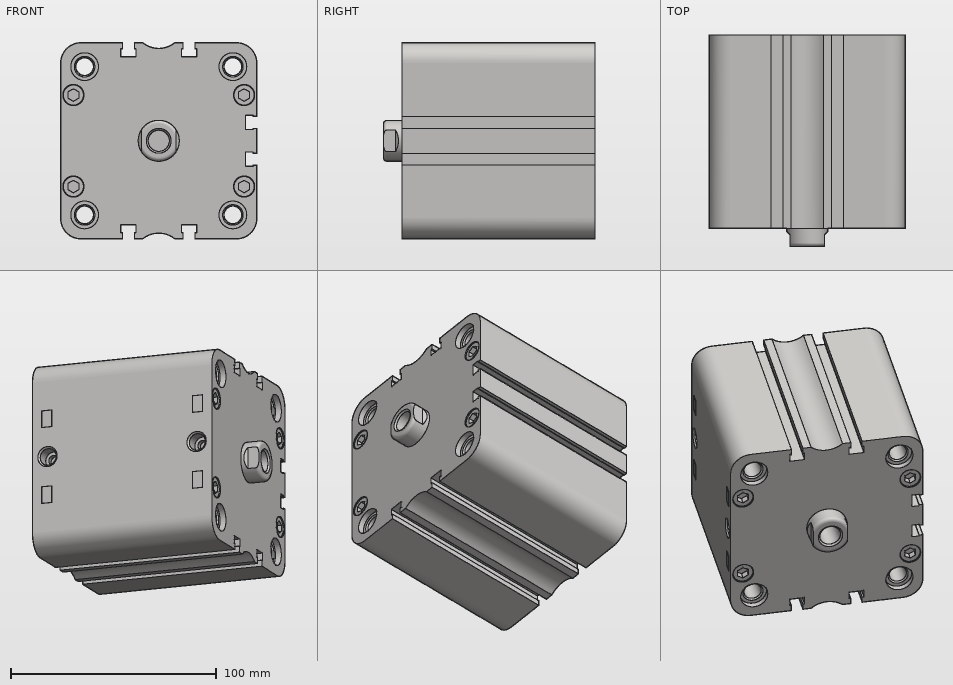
import cadquery as cq


side = 95.5
half_side = side / 2
total_length = 103.0
rod_reach = 9.0
body_length = total_length - rod_reach
corner_radius = 10.0
cap_length = 14.9

slot_offset = 14.7
slot_mouth_width = 5.7
slot_width = 7.3
slot_lip = 3.1
slot_depth = 6.8

side_slot_offset = 9.0
side_slot_mouth_width = 5.8
side_slot_width = 6.8
side_slot_lip = 1.9
side_slot_depth = 5.5

groove_width = 15.7
groove_depth = 2.8

mount_offset = 36.0
mount_diameter = 8.5
mount_countersink_diameter = 10.0
mount_counterbore_diameter = 13.5
mount_counterbore_depth = 3.1

screw_x = 41.5
screw_z = 22.2
screw_bore_diameter = 10.3
screw_head_diameter = 9.8
screw_bore_depth = 5.2
screw_recess = 0.5
socket_corner_diameter = 6.1
socket_depth = 3.6

port_end_distance = 7.9
port_diameter = 8.3
port_countersink_diameter = 10.1
port_depth = 8.0
port_passage_diameter = 5.0
port_passage_depth = 11.0

label_offset = 19.1
label_length = 5.3
label_height = 8.3
label_depth = 0.2

rod_diameter = 20.0
rod_edge_radius = 1.8
rod_flats_width = 17.0
rod_flat_length = 5.9
rod_bore_diameter = 10.3
rod_countersink_diameter = 12.0
rod_bore_depth = 15.5


def front_plane(y=0.0):
    """Sketch plane at the given y, drawn in X and Z; a negative extrusion goes toward +Y."""
    return cq.Workplane("XZ", origin=(0, y, 0))


def cylinder_y(diameter, start, length):
    """Cylinder on the Y axis from y = start toward +Y."""
    return front_plane(start).circle(diameter / 2).extrude(-length)


def countersink_y(large_diameter, small_diameter, start):
    """45 degree cone on the Y axis that narrows toward +Y."""
    depth = (large_diameter - small_diameter) / 2
    cone = cq.Solid.makeCone(
        large_diameter / 2, small_diameter / 2, depth, cq.Vector(0, start, 0), cq.Vector(0, 1, 0)
    )
    return cq.Workplane(cone)


def t_slot(offset, mouth_width, width, lip, depth):
    """T-slot cutter along the full body, opening through the top face at x = offset."""
    mouth = front_plane().center(offset, half_side - depth / 2).rect(mouth_width, depth)
    foot_depth = depth - lip
    foot = front_plane().center(offset, half_side - depth + foot_depth / 2).rect(width, foot_depth)
    return mouth.extrude(-body_length).union(foot.extrude(-body_length))


def arc_groove():
    """Arc-shaped groove cutter along the middle of the top face."""
    return (
        front_plane()
        .moveTo(-groove_width / 2, half_side)
        .threePointArc((0, half_side - groove_depth), (groove_width / 2, half_side))
        .close()
        .extrude(-body_length)
    )


def mounting_hole():
    """Through hole with a counterbore at the front and a countersink at its floor."""
    return (
        cylinder_y(mount_diameter, 0, body_length)
        .union(cylinder_y(mount_counterbore_diameter, 0, mount_counterbore_depth))
        .union(countersink_y(mount_countersink_diameter, mount_diameter, mount_counterbore_depth))
    )


def screw_cutter():
    """Material to remove so that a socket screw head is left standing in its bore."""
    socket = (
        front_plane(screw_recess)
        .transformed(rotate=(0, 0, 90))
        .polygon(6, socket_corner_diameter)
        .extrude(-socket_depth)
    )
    head = cylinder_y(screw_head_diameter, screw_recess, screw_bore_depth - screw_recess)
    return cylinder_y(screw_bore_diameter, 0, screw_bore_depth).cut(head.cut(socket))


def port_cutter():
    """Stepped port with a chamfered mouth, drilled along Y from y = 0."""
    return (
        cylinder_y(port_diameter, 0, port_depth)
        .union(countersink_y(port_countersink_diameter, port_diameter, 0))
        .union(cylinder_y(port_passage_diameter, 0, port_passage_depth))
    )


def port_in_side(y):
    """Port cutter turned to enter the -X face at the given y."""
    return port_cutter().rotate((0, 0, 0), (0, 0, 1), -90).translate((-half_side, y, 0))


def label_pads(y):
    """Pair of shallow rectangular cutters in the -X face at the given y."""
    pad = cq.Workplane().box(2 * label_depth, label_length, label_height)
    upper = pad.translate((-half_side, y, label_offset))
    lower = pad.translate((-half_side, y, -label_offset))
    return upper.union(lower)


def piston_rod():
    """Round rod with a rounded tip and two wrench flats."""
    rod = cylinder_y(rod_diameter, -rod_reach, rod_reach).faces("<Y").edges().fillet(rod_edge_radius)

    flat_x = rod_flats_width / 2
    run_out = rod_diameter - flat_x
    flat_end = -rod_reach + rod_flat_length
    flat = (
        cq.Workplane("XY")
        .moveTo(flat_x, -rod_reach)
        .lineTo(flat_x, flat_end)
        .lineTo(flat_x + run_out, flat_end + run_out)
        .lineTo(flat_x + run_out, -rod_reach)
        .close()
        .extrude(rod_diameter / 2, both=True)
    )
    return rod.cut(flat).cut(flat.mirror("YZ"))


body = front_plane().rect(side, side).extrude(-body_length).edges("|Y").fillet(corner_radius)

top_cutters = arc_groove()
for slot_x in (-slot_offset, slot_offset):
    top_cutters = top_cutters.union(t_slot(slot_x, slot_mouth_width, slot_width, slot_lip, slot_depth))
body = body.cut(top_cutters).cut(top_cutters.mirror("XY"))

for slot_z in (-side_slot_offset, side_slot_offset):
    side_slot = t_slot(slot_z, side_slot_mouth_width, side_slot_width, side_slot_lip, side_slot_depth)
    body = body.cut(side_slot.rotate((0, 0, 0), (0, 1, 0), 90))

for x_sign in (-1, 1):
    for z_sign in (-1, 1):
        body = body.cut(mounting_hole().translate((x_sign * mount_offset, 0, z_sign * mount_offset)))
        body = body.cut(screw_cutter().translate((x_sign * screw_x, 0, z_sign * screw_z)))

for port_y in (port_end_distance, body_length - port_end_distance):
    body = body.cut(port_in_side(port_y))
for label_y in (cap_length / 2, body_length - cap_length / 2):
    body = body.cut(label_pads(label_y))

rod_bore = cylinder_y(rod_bore_diameter, -rod_reach, rod_bore_depth).union(
    countersink_y(rod_countersink_diameter, rod_bore_diameter, -rod_reach)
)
result = body.union(piston_rod()).cut(rod_bore)